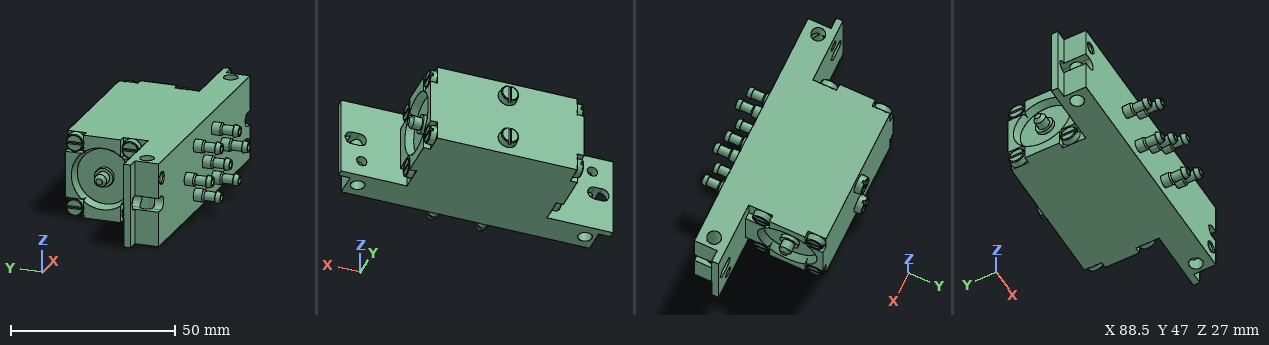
import cadquery as cq
height = 27.0
plate_width = 80.9
plate_depth = 10.0
flange_width = 88.5
flange_thickness = 2.3
body_width = 50.0
body_back = 36.0

cross_hole_diameter = 4.4
cross_hole_x = 37.0
cross_hole_y = 5.05
slot_length = 6.8
slot_width = 4.4
slot_x = 39.5
thread_hole_diameter = 3.3
thread_mouth_diameter = 4.0
thread_hole_x = 37.5

pitch = 8.0
barb_length = 8.5
barb_collar_length = 2.7
barb_taper_length = 1.6
barb_diameter = 4.0
barb_neck_diameter = 3.0
barb_bore_diameter = 2.0

screw_base_diameter = 6.0
screw_top_diameter = 5.5
screw_edge_chamfer = 0.3
screw_slot_width = 0.8
screw_slot_depth = 1.0
rear_screw_height = 2.5
end_screw_height = 2.2
pocket_size = 6.0
end_screw_spacing = 18.05

recess_mouth_diameter = 20.0
recess_floor_diameter = 18.0
recess_depth = 2.5
plunger_collar_diameter = 6.0
plunger_collar_height = 1.2
plunger_diameter = 4.0
plunger_tip_diameter = 2.0
plunger_tip_length = 1.15
plunger_reach = 2.65

end_screw_z = (height - pocket_size) / 2
rear_end_screw_y = body_back - pocket_size / 2
front_end_screw_y = rear_end_screw_y - end_screw_spacing
recess_y = (rear_end_screw_y + front_end_screw_y) / 2


def box(x_min, x_max, y_min, y_max, tall=height):
    """Box between the given X and Y limits, centred on Z = 0."""
    size_x = x_max - x_min
    size_y = y_max - y_min
    block = cq.Workplane("XY").box(size_x, size_y, tall)
    return block.translate(((x_min + x_max) / 2, (y_min + y_max) / 2, 0))


def revolve(profile):
    """Solid of revolution about +Z from (radius, height) points listed upward from the axis."""
    return cq.Workplane("XZ").polyline(profile).close().revolve(360, (0, 0, 0), (0, 1, 0))


def make_barb():
    """Hose barb standing on Z = 0, with a bore down to its foot."""
    outer = barb_diameter / 2
    neck = barb_neck_diameter / 2
    bore = barb_bore_diameter / 2
    return revolve([
        (bore, 0),
        (outer, 0),
        (outer, barb_collar_length),
        (neck, barb_collar_length + outer - neck),
        (neck, barb_length - barb_taper_length),
        (outer, barb_length - barb_taper_length),
        (neck, barb_length),
        (bore, barb_length),
    ])


def make_screw(head_height):
    """Tapered screw head standing on Z = 0, its driver slot along X."""
    head = revolve([
        (0, 0),
        (screw_base_diameter / 2, 0),
        (screw_top_diameter / 2, head_height),
        (0, head_height),
    ])
    head = head.faces(">Z").edges().chamfer(screw_edge_chamfer)
    slot = cq.Workplane("XY").box(2 * screw_base_diameter, screw_slot_width, 2 * screw_slot_depth)
    return head.cut(slot.translate((0, 0, head_height)))


def make_plunger():
    """Collared plunger standing on the recess floor at Z = 0."""
    collar = plunger_collar_diameter / 2
    stem = plunger_diameter / 2
    top = recess_depth + plunger_reach
    return revolve([
        (0, 0),
        (collar, 0),
        (collar, plunger_collar_height),
        (stem, plunger_collar_height),
        (stem, top - plunger_tip_length),
        (plunger_tip_diameter / 2, top),
        (0, top),
    ])


def make_recess():
    """Tapered recess cutter with its floor at Z = 0."""
    return revolve([
        (0, 0),
        (recess_floor_diameter / 2, 0),
        (recess_mouth_diameter / 2, recess_depth),
        (0, recess_depth),
    ])


def face_end(solid, side, x, y, z):
    """Turn a +Z solid to point along X toward the given side, its own X axis along Y, and place it."""
    turned = solid.rotate((0, 0, 0), (0, 0, 1), 90)
    pointed = turned.rotate((0, 0, 0), (0, 1, 0), side * 90)
    return pointed.translate((side * x, y, z))


result = box(-plate_width / 2, plate_width / 2, 0, plate_depth)
result = result.union(box(-flange_width / 2, flange_width / 2, plate_depth - flange_thickness, plate_depth))
result = result.union(box(-body_width / 2, body_width / 2, 0, body_back))

thread_mouth_depth = (thread_mouth_diameter - thread_hole_diameter) / 2
cross_holes = (
    cq.Workplane("XY", origin=(0, 0, -height / 2))
    .pushPoints([(-cross_hole_x, cross_hole_y), (cross_hole_x, cross_hole_y)])
    .circle(cross_hole_diameter / 2)
    .extrude(height)
)
slots = (
    cq.Workplane("XZ", origin=(0, plate_depth, 0))
    .pushPoints([(-slot_x, 0), (slot_x, 0)])
    .slot2D(slot_length, slot_width)
    .extrude(plate_depth)
)
thread_hole = revolve([
    (0, 0),
    (thread_hole_diameter / 2, 0),
    (thread_hole_diameter / 2, plate_depth - thread_mouth_depth),
    (thread_mouth_diameter / 2, plate_depth),
    (0, plate_depth),
]).rotate((0, 0, 0), (1, 0, 0), 90).translate((0, plate_depth, 0))
result = result.cut(cross_holes).cut(slots)
for side in (-1, 1):
    result = result.cut(thread_hole.translate((side * thread_hole_x, 0, -side * pitch)))

pocket_floor_x = body_width / 2 - end_screw_height
recess_floor_x = body_width / 2 - recess_depth
for side in (-1, 1):
    result = result.cut(face_end(make_recess(), side, recess_floor_x, recess_y, 0))
    result = result.union(face_end(make_plunger(), side, recess_floor_x, recess_y, 0))
    pocket_x = sorted([side * pocket_floor_x, side * body_width / 2])
    for level in (-1, 1):
        z = level * end_screw_z
        rear_pocket = box(*pocket_x, body_back - pocket_size, body_back, pocket_size)
        front_pocket = box(*pocket_x, plate_depth, front_end_screw_y + pocket_size / 2, pocket_size)
        for pocket in (rear_pocket, front_pocket):
            result = result.cut(pocket.translate((0, 0, z)))
        for y in (rear_end_screw_y, front_end_screw_y):
            result = result.union(face_end(make_screw(end_screw_height), side, pocket_floor_x, y, z))

for level in (-1, 1):
    upright_slot = make_screw(rear_screw_height).rotate((0, 0, 0), (0, 0, 1), 90)
    screw = upright_slot.rotate((0, 0, 0), (1, 0, 0), -90)
    result = result.union(screw.translate((0, body_back, level * pitch)))

barb_points = [(column * 2 * pitch, 0) for column in (-1, 0, 1)]
barb_points += [(column * pitch, row * pitch) for column in (-1, 1) for row in (-1, 1)]
barb = make_barb().rotate((0, 0, 0), (1, 0, 0), 90)
for x, z in barb_points:
    result = result.union(barb.translate((x, 0, z)))